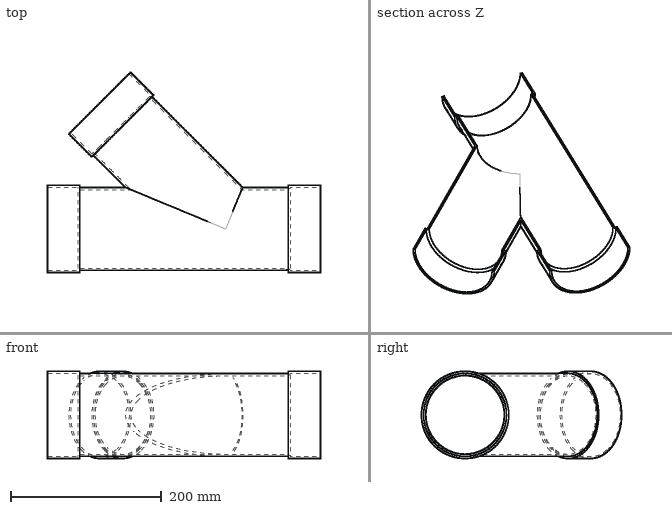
import cadquery as cq

PIPE_OUTER = 110.0
WALL = 3.0
PIPE_BORE = PIPE_OUTER - 2 * WALL
SOCKET_BORE = PIPE_OUTER
SOCKET_OUTER = SOCKET_BORE + 2 * WALL

RUN_LENGTH = 362.0
RUN_LEFT_REACH = 236.0
RUN_RIGHT_REACH = RUN_LENGTH - RUN_LEFT_REACH
BRANCH_REACH = 235.79

SOCKET_LENGTH = 43.0
SOCKET_DEPTH = SOCKET_LENGTH - WALL

BRANCH_ANGLE = 135.0
LEFT_ANGLE = 180.0
RIGHT_ANGLE = 0.0


def arm_cylinder(angle, start, end, diameter):
    """Cylinder about an arm axis, between two distances from the axis crossing."""
    cylinder = cq.Workplane("YZ").workplane(offset=start).circle(diameter / 2).extrude(end - start)
    return cylinder.rotate((0, 0, 0), (0, 0, 1), angle)


def arm_cone(angle, start, end, start_diameter, end_diameter):
    """Truncated cone about an arm axis, between two distances from the axis crossing."""
    cone = cq.Solid.makeCone(
        start_diameter / 2,
        end_diameter / 2,
        end - start,
        pnt=cq.Vector(start, 0, 0),
        dir=cq.Vector(1, 0, 0),
    )
    return cq.Workplane(cone).rotate((0, 0, 0), (0, 0, 1), angle)


def arm_body(angle, reach):
    """Solid pipe with the larger socket collar at its open end."""
    pipe = arm_cylinder(angle, 0, reach, PIPE_OUTER)
    collar = arm_cylinder(angle, reach - SOCKET_LENGTH, reach, SOCKET_OUTER)
    return pipe.union(collar)


def arm_cavity(angle, reach):
    """Pipe bore, widened by a conical shoulder into the socket bore at its open end."""
    bore = arm_cylinder(angle, 0, reach, PIPE_BORE)
    socket = arm_cylinder(angle, reach - SOCKET_DEPTH, reach, SOCKET_BORE)
    shoulder = arm_cone(angle, reach - SOCKET_LENGTH, reach - SOCKET_DEPTH, PIPE_BORE, SOCKET_BORE)
    return bore.union(shoulder).union(socket)


ARMS = [
    (LEFT_ANGLE, RUN_LEFT_REACH),
    (RIGHT_ANGLE, RUN_RIGHT_REACH),
    (BRANCH_ANGLE, BRANCH_REACH),
]

body = cq.Workplane("XY")
for arm_angle, arm_reach in ARMS:
    body = body.union(arm_body(arm_angle, arm_reach))

for arm_angle, arm_reach in ARMS:
    body = body.cut(arm_cavity(arm_angle, arm_reach))

result = body